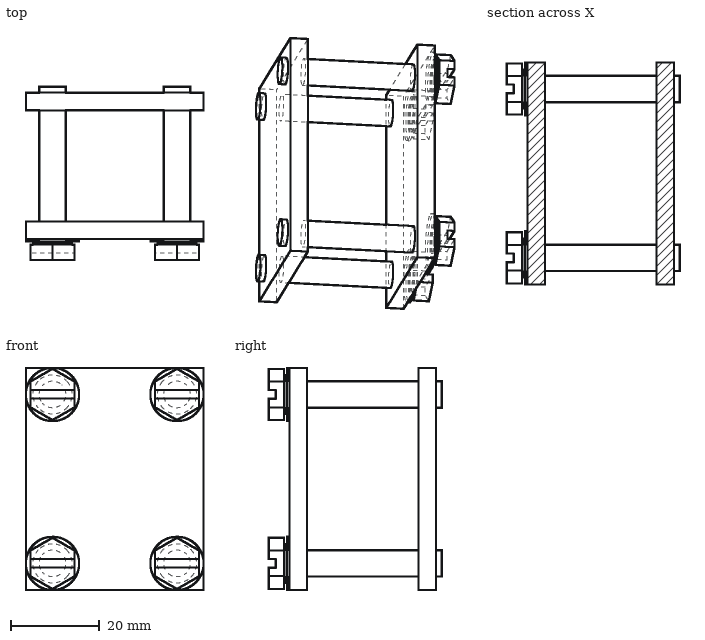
import cadquery as cq
import math

plate_width = 40.0
plate_height = 50.0
plate_thickness = 4.0
plate_gap = 25.0

screw_diameter = 6.0
overall_depth = 39.0
head_across_flats = 10.0
head_thickness = 3.5
slot_width = 1.9
slot_depth = 1.6
collar_diameter = 8.8
washer_diameter = 12.0
washer_thickness = 0.5
collar_thickness = 0.5
collar_clearance = 0.2

screw_x = (plate_width - washer_diameter) / 2
screw_z = (plate_height - washer_diameter) / 2

head_front = -overall_depth / 2
head_back = head_front + head_thickness
collar_back = head_back + collar_thickness
washer_front = collar_back + collar_clearance
front_plate_front = washer_front + washer_thickness
rear_plate_front = front_plate_front + plate_thickness + plate_gap
screw_end = head_front + overall_depth


def plane_at(y):
    """Workplane at depth y, facing +Y, with its vertical axis along +Z."""
    return cq.Workplane(cq.Plane(origin=(0, y, 0), xDir=(-1, 0, 0), normal=(0, 1, 0)))


def make_plate(front_y):
    return plane_at(front_y).rect(plate_width, plate_height).extrude(plate_thickness)


def make_disc(diameter, front_y, back_y):
    return plane_at(front_y).circle(diameter / 2).extrude(back_y - front_y)


def make_head():
    """Hexagonal head with corners at top and bottom and a slot along X."""
    across_corners = head_across_flats / math.cos(math.pi / 6)
    head = plane_at(head_front).polygon(6, across_corners).extrude(head_thickness)
    head = head.rotate((0, 0, 0), (0, 1, 0), 90)
    slot = plane_at(head_front).rect(2 * head_across_flats, slot_width).extrude(slot_depth)
    return head.cut(slot)


def make_screw():
    """Screw on the Y axis: slotted head, collar under it, washer and shank.

    The shank alone bridges the narrow clearance between collar and washer.
    """
    collar = make_disc(collar_diameter, head_back, collar_back)
    washer = make_disc(washer_diameter, washer_front, front_plate_front)
    shank = make_disc(screw_diameter, head_back, screw_end)
    return make_head().union(collar).union(washer).union(shank)


result = make_plate(front_plate_front).union(make_plate(rear_plate_front))
for x in (-screw_x, screw_x):
    for z in (-screw_z, screw_z):
        result = result.union(make_screw().translate((x, 0, z)))